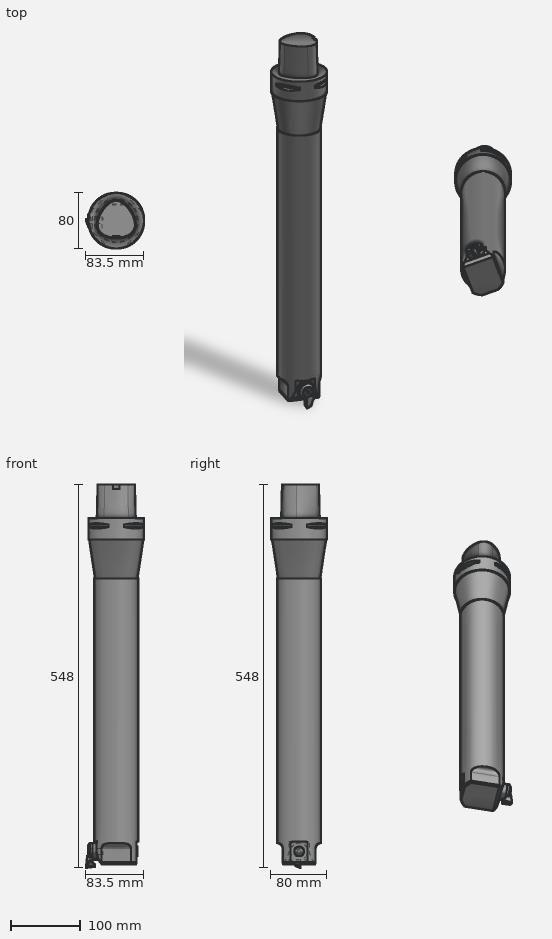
import cadquery as cq
import math


SHANK_LENGTH = 48.0
SHANK_TAPER = 1.4
FLANK_DISTANCE = 26.0
LOBE_DISTANCE = 29.5
FLANK_RADIUS = 44.0
KEY_SLOT_WIDTH = 9.0
KEY_SLOT_HEIGHT = 6.5
KEY_SLOT_DEPTH = 3.0

OVERALL_WIDTH = 83.5
TOOL_LENGTH = 548
TIP_Z = SHANK_LENGTH - TOOL_LENGTH
FLANGE_DIAMETER = 80.0
FLANGE_HEIGHT = 30.0
CONE_TOP_DIAMETER = 78.0
CONE_BOTTOM_DIAMETER = 61.0
CONE_BOTTOM_Z = -86.0
BAR_DIAMETER = 63.0
BAR_BOTTOM_Z = TIP_Z + 5.0
END_CHAMFER_HEIGHT = 3.5
END_CHAMFER_WIDTH = 1.0

GROOVE_COUNT = 4
GROOVE_Z = -11.0
GROOVE_DEPTH = 5.0
GROOVE_FLOOR_HEIGHT = 3.5
GROOVE_MOUTH_HEIGHT = 7.5

SIDE_FLAT_Y = 23.5
SIDE_FLAT_TOP_Z = TIP_Z + 35.5
SIDE_FLAT_FILLET = 8.0
REAR_FLAT_X = 29.0
REAR_FLAT_FILLET = 2.0
SEAT_X = 28.0
SEAT_TOP_Z = TIP_Z + 38.0
SEAT_BEND_Z = TIP_Z + 22.0
SEAT_LEAN_X = 25.0
SEAT_CHAMFER_Z = TIP_Z + 11.5
SEAT_BOTTOM_X = 20.5

INSERT_Z = TIP_Z + 23.5
BOSS_DIAMETER = 24.0
BOSS_FACE_X = -34.0
REAR_PAD_DIAMETER = 13.5
REAR_PAD_X = 30.5
INSERT_RIM_X = -38.0
INSERT_FACE_X = -40.5
INSERT_FACE_DIAMETER = 15.5

TIP_X = FLANGE_DIAMETER / 2 - OVERALL_WIDTH
RAKE_Y = 2.0
TOOTH_HEEL = (-5.0, TIP_Z + 3.0)
TOOTH_NOTCH = (-7.5, TIP_Z + 9.5)
TOOTH_SHOULDER_Z = TIP_Z + 11.0
TOOTH_SHANK_BOTTOM_Z = TIP_Z + 8.0
TOOTH_BACK_X = -30.0
TOOTH_BACK_TOP_Z = TIP_Z + 4.5
TOOTH_BACK_BOTTOM_Z = TIP_Z + 1.5
TOOTH_STEP_BOTTOM_Z = TIP_Z + 16.5
TOOTH_STEP_TOP_Z = TIP_Z + 18.5
TOOTH_FLANK_MIDDLE = (-40.5, -6.5)
TOOTH_LEAN = 5

SCREW_HEAD_DIAMETER = 13.5
SCREW_HEAD_HEIGHT = 4.0
SCREW_SHANK_DIAMETER = 8.0
SCREW_LENGTH = 22.0
SOCKET_DIAMETER = 4.65
SOCKET_DEPTH = 2.0


def polar(radius, degrees):
    angle = math.radians(degrees)
    return (radius * math.cos(angle), radius * math.sin(angle))


def disc_x(diameter, x_start, x_end):
    """Cylinder on the insert axis between two X positions."""
    return (
        cq.Workplane("YZ", origin=(x_start, 0, INSERT_Z))
        .circle(diameter / 2)
        .extrude(x_end - x_start)
    )


def make_shank():
    flank_offset = FLANK_RADIUS - FLANK_DISTANCE
    lobe_radius = (
        FLANK_RADIUS**2 - flank_offset**2 - LOBE_DISTANCE**2 - flank_offset * LOBE_DISTANCE
    ) / (2 * (FLANK_RADIUS - LOBE_DISTANCE) - flank_offset)

    flank_center = cq.Vector(polar(-flank_offset, -90))
    lobe_center = cq.Vector(polar(LOBE_DISTANCE - lobe_radius, -30))
    joint = flank_center + (lobe_center - flank_center).normalized() * FLANK_RADIUS
    joint_spread = math.degrees(math.atan2(joint.x, -joint.y))
    joint_radius = joint.Length

    outline = cq.Workplane("XY").moveTo(*polar(joint_radius, -90 - joint_spread))
    for flank_angle in (-90, 30, 150):
        lobe_angle = flank_angle + 60
        outline = outline.threePointArc(
            polar(FLANK_DISTANCE, flank_angle),
            polar(joint_radius, flank_angle + joint_spread),
        ).threePointArc(
            polar(LOBE_DISTANCE, lobe_angle),
            polar(joint_radius, flank_angle + 120 - joint_spread),
        )
    shank = outline.close().extrude(SHANK_LENGTH, taper=SHANK_TAPER)

    top_flank_y = FLANK_DISTANCE - SHANK_LENGTH * math.tan(math.radians(SHANK_TAPER))
    slot = cq.Workplane("XY").box(KEY_SLOT_WIDTH, 2 * KEY_SLOT_DEPTH, 2 * KEY_SLOT_HEIGHT)
    return shank.cut(slot.translate((0, -top_flank_y, SHANK_LENGTH)))


def make_turned_body():
    """Flange, cone and bar as one profile turned about Z."""
    return (
        cq.Workplane("XZ")
        .polyline([
            (0, 0),
            (FLANGE_DIAMETER / 2, 0),
            (FLANGE_DIAMETER / 2, -FLANGE_HEIGHT),
            (CONE_TOP_DIAMETER / 2, -FLANGE_HEIGHT),
            (CONE_BOTTOM_DIAMETER / 2, CONE_BOTTOM_Z),
            (BAR_DIAMETER / 2, CONE_BOTTOM_Z),
            (BAR_DIAMETER / 2, BAR_BOTTOM_Z + END_CHAMFER_HEIGHT),
            (BAR_DIAMETER / 2 - END_CHAMFER_WIDTH, BAR_BOTTOM_Z),
            (0, BAR_BOTTOM_Z),
        ])
        .close()
        .revolve(360, (0, 0, 0), (0, 1, 0))
    )


def make_groove():
    """Straight cutter across the +X side of the flange, narrowing towards its floor."""
    rim = FLANGE_DIAMETER / 2
    return (
        cq.Workplane("XZ", origin=(0, rim, GROOVE_Z))
        .polyline([
            (rim - GROOVE_DEPTH, GROOVE_FLOOR_HEIGHT / 2),
            (rim, GROOVE_MOUTH_HEIGHT / 2),
            (rim, -GROOVE_MOUTH_HEIGHT / 2),
            (rim - GROOVE_DEPTH, -GROOVE_FLOOR_HEIGHT / 2),
        ])
        .close()
        .extrude(2 * rim)
    )


def make_flat_cut(distance, top_z, fillet):
    """Cutter for a flat facing +X: rounded into the bar at its top, chamfered at its bottom."""
    slant = 1 - math.sqrt(0.5)
    return (
        cq.Workplane("XZ", origin=(0, BAR_DIAMETER / 2, 0))
        .moveTo(BAR_DIAMETER, top_z)
        .lineTo(distance + fillet, top_z)
        .threePointArc(
            (distance + fillet * slant, top_z - fillet * slant),
            (distance, top_z - fillet),
        )
        .lineTo(distance, BAR_BOTTOM_Z + END_CHAMFER_HEIGHT)
        .lineTo(distance - END_CHAMFER_WIDTH, BAR_BOTTOM_Z)
        .lineTo(BAR_DIAMETER, BAR_BOTTOM_Z)
        .close()
        .extrude(BAR_DIAMETER)
    )


def make_seat_cut():
    """Cutter for the insert seat on -X: a flat, a leaning face and an end chamfer."""
    return (
        cq.Workplane("XZ", origin=(0, BAR_DIAMETER / 2, 0))
        .polyline([
            (-BAR_DIAMETER, SEAT_TOP_Z),
            (-SEAT_X, SEAT_TOP_Z),
            (-SEAT_X, SEAT_BEND_Z),
            (-SEAT_LEAN_X, SEAT_CHAMFER_Z),
            (-SEAT_BOTTOM_X, BAR_BOTTOM_Z),
            (-BAR_DIAMETER, BAR_BOTTOM_Z),
        ])
        .close()
        .extrude(BAR_DIAMETER)
    )


def make_holder():
    body = make_turned_body()
    groove = make_groove()
    for index in range(GROOVE_COUNT):
        body = body.cut(groove.rotate((0, 0, 0), (0, 0, 1), 45 + index * 360 / GROOVE_COUNT))

    side_flat = make_flat_cut(SIDE_FLAT_Y, SIDE_FLAT_TOP_Z, SIDE_FLAT_FILLET)
    for angle in (90, -90):
        body = body.cut(side_flat.rotate((0, 0, 0), (0, 0, 1), angle))
    body = body.cut(make_flat_cut(REAR_FLAT_X, SEAT_TOP_Z, REAR_FLAT_FILLET))
    body = body.cut(make_seat_cut())

    boss = disc_x(BOSS_DIAMETER, BOSS_FACE_X, -SEAT_BOTTOM_X)
    rear_pad = disc_x(REAR_PAD_DIAMETER, SEAT_LEAN_X, REAR_PAD_X)
    screw_hole = disc_x(SCREW_SHANK_DIAMETER, INSERT_FACE_X, INSERT_FACE_X + SCREW_LENGTH)
    return body.union(make_shank()).union(boss).union(rear_pad).cut(screw_hole)


def make_tooth():
    """Cutting tooth: the part shared by its three outlines along X, Y and Z."""
    radius = BOSS_DIAMETER / 2
    along_x = (
        cq.Workplane("YZ", origin=(TIP_X, 0, 0))
        .polyline([
            (RAKE_Y, INSERT_Z),
            (RAKE_Y, TIP_Z),
            TOOTH_HEEL,
            TOOTH_NOTCH,
            (-radius, TOOTH_SHOULDER_Z),
            (-radius, INSERT_Z),
        ])
        .close()
        .extrude(BOSS_DIAMETER)
    )
    along_y = (
        cq.Workplane("XZ", origin=(0, RAKE_Y, 0))
        .polyline([
            (BOSS_FACE_X, INSERT_Z),
            (BOSS_FACE_X, TOOTH_SHANK_BOTTOM_Z),
            (TOOTH_BACK_X, TOOTH_BACK_TOP_Z),
            (TOOTH_BACK_X, TOOTH_BACK_BOTTOM_Z),
            (TIP_X, TIP_Z),
            (TIP_X, TOOTH_STEP_BOTTOM_Z),
            (INSERT_FACE_X, TOOTH_STEP_TOP_Z),
            (INSERT_FACE_X, INSERT_Z),
        ])
        .close()
        .extrude(BOSS_DIAMETER)
    )
    height = INSERT_Z - TIP_Z
    along_z = (
        cq.Workplane("XY", origin=(0, 0, TIP_Z - height))
        .moveTo(TIP_X, RAKE_Y)
        .threePointArc(TOOTH_FLANK_MIDDLE, (BOSS_FACE_X, -radius))
        .lineTo(0, -radius)
        .lineTo(0, RAKE_Y)
        .close()
        .extrude(3 * height)
        .rotate((TIP_X, 0, TIP_Z), (TIP_X, 1, TIP_Z), TOOTH_LEAN)
    )
    return along_x.intersect(along_y).intersect(along_z)


def make_insert():
    hub = (
        cq.Workplane("XY", origin=(0, 0, INSERT_Z))
        .polyline([
            (BOSS_FACE_X, 0),
            (BOSS_FACE_X, BOSS_DIAMETER / 2),
            (INSERT_RIM_X, BOSS_DIAMETER / 2),
            (INSERT_FACE_X, INSERT_FACE_DIAMETER / 2),
            (INSERT_FACE_X, 0),
        ])
        .close()
        .revolve(360, (0, 0, 0), (1, 0, 0))
    )
    insert = hub.union(make_tooth())
    head_recess = disc_x(SCREW_HEAD_DIAMETER, TIP_X, INSERT_FACE_X + SCREW_HEAD_HEIGHT)
    screw_hole = disc_x(SCREW_SHANK_DIAMETER, INSERT_FACE_X, BOSS_FACE_X)
    return insert.cut(head_recess).cut(screw_hole)


def make_screw():
    head = disc_x(SCREW_HEAD_DIAMETER, INSERT_FACE_X, INSERT_FACE_X + SCREW_HEAD_HEIGHT)
    shank = disc_x(SCREW_SHANK_DIAMETER, INSERT_FACE_X, INSERT_FACE_X + SCREW_LENGTH)
    socket = disc_x(SOCKET_DIAMETER, INSERT_FACE_X, INSERT_FACE_X + SOCKET_DEPTH)
    return head.union(shank).cut(socket)


holder = make_holder()
insert = make_insert()
screw = make_screw()

result = cq.Compound.makeCompound([holder.val(), insert.val(), screw.val()])